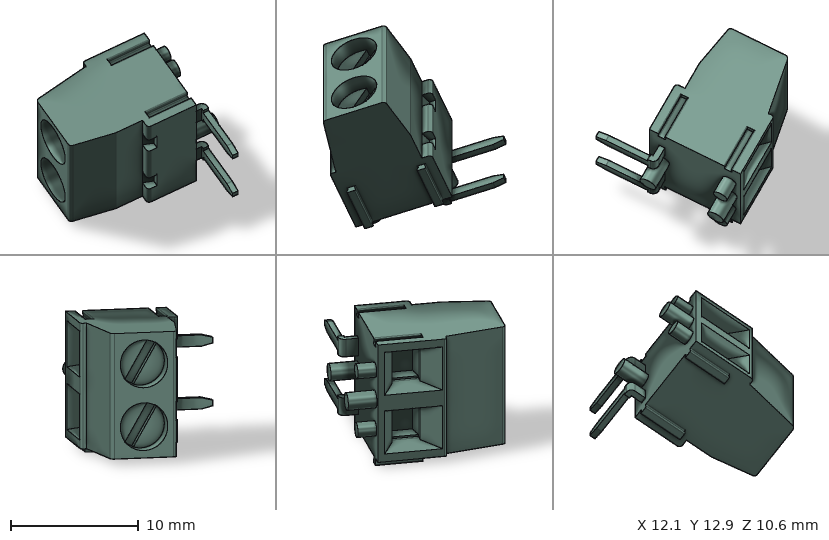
import cadquery as cq
import math


pitch = 5.0
pole_heights = [pitch / 2, 3 * pitch / 2]
housing_height = 2 * pitch

housing_width = 8.1
housing_depth = 10.6
taper_angle = 10.0
entry_step_x = 0.5
entry_step_y = 5.02
entry_corner_radius = 0.2
flange_thickness = 0.82
flange_y = 6.2
flange_corner_radius = 0.3
flange_side_x = housing_width - flange_thickness
flange_side_taper_y = 3.8
nose_corner_radius = 0.3

screw_x = 4.0
screw_diameter = 3.8
screw_recess = 1.25
driver_slot_width = 0.8
driver_slot_depth = 0.6
driver_slot_angle = 60.0

funnel_front_y = 5.4
funnel_back_y = 10.05
funnel_height = 3.66
funnel_depth = 1.36
throat_front_y = 6.9
throat_back_y = 9.13
throat_height = 2.8
ramp_depth = 1.6
throat_depth = 1.87
chamber_height = 2.5
chamber_back_y = 9.05
chamber_depth = 1.2
chamber_end_front_y = 7.1

rib_positions = [1.1, 7.0]
rib_length = 3.8
rib_height = 0.6
groove_depth = 0.5
rib_root_half_width = 0.37
rib_root_radius = 0.1
rib_flank_angle = 14.0
rib_foot_radius = 0.09

notch_height = 1.45
notch_ramp_width = 0.31
notch_ramp_depth = 0.85

peg_positions = [1.0, 7.0]
peg_diameter = 1.4
peg_length = 2.3
stud_x = 1.0
stud_diameter = 1.2
stud_length = 1.5

pin_thickness = 0.5
pin_bend_radius = 0.49
pin_drop = 0.45
pin_leg_x = 6.72
pin_leg_width = 1.5
pin_leg_end_x = 7.45
pin_width = 0.9
pin_tip_width = 0.45
pin_tip_length = 0.9
pin_end_x = 12.05
pin_back_y = housing_depth + stud_length


def box(x_range, y_range, z_range):
    """Box between the given limits on each axis."""
    size = [high - low for low, high in (x_range, y_range, z_range)]
    return cq.Workplane("XY").box(*size, centered=False).translate((x_range[0], y_range[0], z_range[0]))


def make_housing():
    slope = math.tan(math.radians(taper_angle))
    nose_left_x = entry_step_x + entry_step_y * slope
    nose_right_x = flange_side_x - flange_side_taper_y * slope
    outline = [
        (nose_left_x, 0),
        (nose_right_x, 0),
        (flange_side_x, flange_side_taper_y),
        (flange_side_x, flange_y),
        (housing_width, flange_y),
        (housing_width, housing_depth),
        (0, housing_depth),
        (0, entry_step_y),
        (entry_step_x, entry_step_y),
    ]
    body = cq.Workplane("XY").polyline(outline).close().extrude(housing_height)
    body = round_upright_edge(body, nose_left_x, 0, nose_corner_radius)
    body = round_upright_edge(body, nose_right_x, 0, nose_corner_radius)
    body = round_upright_edge(body, housing_width, flange_y, flange_corner_radius)
    return round_upright_edge(body, 0, entry_step_y, entry_corner_radius)


def round_upright_edge(body, x, y, radius):
    """Round the Z-parallel edge standing at (x, y)."""
    return body.edges(cq.selectors.NearestToPointSelector((x, y, housing_height / 2))).fillet(radius)


def make_screw_well(z):
    """Round well with the screw head as its floor, and the slanted driver slot in that head."""
    end_y = screw_recess + driver_slot_depth
    centre = cq.Workplane("XZ", origin=(screw_x, 0, z))
    well = centre.circle(screw_diameter / 2).extrude(-screw_recess)
    bore = centre.circle(screw_diameter / 2).extrude(-end_y)
    slot = centre.transformed(rotate=(0, 0, driver_slot_angle)).rect(screw_diameter, driver_slot_width)
    return well.union(slot.extrude(-end_y).intersect(bore))


def loft_along_x(start, end):
    """Loft between two rectangles, each given as (x, front y, back y, height), centred on Z = 0."""
    wires = []
    for x, front_y, back_y, height in (start, end):
        plane = cq.Workplane("YZ", origin=(x, (front_y + back_y) / 2, 0))
        wires.append(plane.rect(back_y - front_y, height).val())
    return cq.Workplane(cq.Solid.makeLoft(wires, True))


def make_wire_entry(z):
    """Four-sided funnel, throat and clamp chamber cut in from the X = 0 side."""
    ramp = (funnel_height - throat_height) / 2 / ramp_depth
    mid_height = funnel_height - 2 * ramp * funnel_depth
    chamber_end_x = throat_depth + chamber_depth
    entry = loft_along_x(
        (0, funnel_front_y, funnel_back_y, funnel_height),
        (funnel_depth, throat_front_y, throat_back_y, mid_height),
    )
    entry = entry.union(
        loft_along_x(
            (funnel_depth, throat_front_y, throat_back_y, mid_height),
            (ramp_depth, throat_front_y, throat_back_y, throat_height),
        )
    )
    throat_z = (-throat_height / 2, throat_height / 2)
    entry = entry.union(box((ramp_depth, throat_depth), (throat_front_y, throat_back_y), throat_z))
    entry = entry.union(
        loft_along_x(
            (throat_depth, throat_front_y, chamber_back_y, chamber_height),
            (chamber_end_x, chamber_end_front_y, chamber_back_y, chamber_height),
        )
    )
    return entry.translate((0, 0, z))


def make_dovetail(x, height):
    """Bar hanging below Z = 0: a rounded root, a neck and a wider foot with rounded corners."""
    flank_angle = math.radians(rib_flank_angle)

    def root_point(angle):
        """Point on the right root round, which is level at 90 degrees and meets the flank below 0."""
        reach = rib_root_half_width - rib_root_radius * math.cos(angle)
        return reach, -rib_root_radius + rib_root_radius * math.sin(angle)

    def mirrored(point):
        return -point[0], point[1]

    root = (rib_root_half_width, 0)
    middle = root_point((math.pi / 2 - flank_angle) / 2)
    neck = root_point(-flank_angle)
    foot = (neck[0] + (neck[1] + height) * math.tan(flank_angle), -height)
    profile = (
        cq.Workplane("XZ", origin=(x, housing_depth, 0))
        .moveTo(*root)
        .threePointArc(middle, neck)
        .lineTo(*foot)
        .lineTo(*mirrored(foot))
        .lineTo(*mirrored(neck))
        .threePointArc(mirrored(middle), mirrored(root))
        .close()
    )
    return profile.extrude(rib_length).edges("|Y").edges("<Z").fillet(rib_foot_radius)


def make_flange_notch(z):
    """Pocket in the screw-side face of the flange, with a slanted inner wall."""
    floor_y = flange_y + notch_ramp_depth
    profile = [
        (flange_side_x, flange_y),
        (flange_side_x + notch_ramp_width, floor_y),
        (housing_width, floor_y),
        (housing_width, flange_y),
    ]
    notch = cq.Workplane("XY").polyline(profile).close().extrude(notch_height)
    return notch.translate((0, 0, z - notch_height / 2))


def make_back_cylinder(x, z, diameter, length):
    """Cylinder standing out of the back face of the housing."""
    return cq.Workplane("XZ", origin=(x, housing_depth, z)).circle(diameter / 2).extrude(-length)


def make_solder_pin(z):
    """Flat pin leaving the back face and bent toward +X, with a tapered tip."""
    front_y = pin_back_y - pin_thickness
    half_leg = pin_leg_width / 2
    leg_z = (z - half_leg, z + half_leg)
    leg = box((pin_leg_x, pin_leg_x + pin_thickness), (housing_depth, pin_back_y), leg_z)
    leg = leg.union(box((pin_leg_x, pin_leg_end_x), (front_y, pin_back_y), leg_z))
    leg = leg.edges(cq.selectors.NearestToPointSelector((pin_leg_x, pin_back_y, z))).fillet(pin_bend_radius)
    taper_x = pin_end_x - pin_tip_length
    upper_edge = [
        (pin_leg_end_x, pin_width / 2),
        (taper_x, pin_width / 2),
        (pin_end_x, pin_tip_width / 2),
    ]
    lower_edge = [(x, -half_width) for x, half_width in reversed(upper_edge)]
    blade = cq.Workplane("XZ", origin=(0, front_y, z)).polyline(upper_edge + lower_edge).close()
    return leg.union(blade.extrude(-pin_thickness))


part = make_housing()

for pole_z in pole_heights:
    part = part.cut(make_screw_well(pole_z))
    part = part.cut(make_wire_entry(pole_z))
    part = part.cut(make_flange_notch(pole_z))
    part = part.union(make_back_cylinder(stud_x, pole_z, stud_diameter, stud_length))
    part = part.union(make_solder_pin(pole_z - pin_drop))

for rib_x in rib_positions:
    part = part.cut(make_dovetail(rib_x, groove_depth).translate((0, 0, housing_height)))
    part = part.union(make_dovetail(rib_x, rib_height))

for peg_x in peg_positions:
    part = part.union(make_back_cylinder(peg_x, housing_height / 2, peg_diameter, peg_length))

result = part